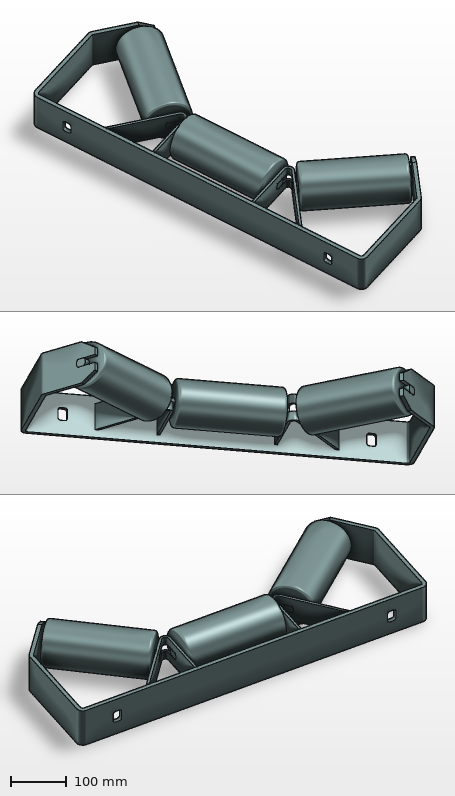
import cadquery as cq
import math

frame_width = 720.0
strip_height = 80.0
frame_thickness = 8.0
frame_bend_radius = 13.0
tilt = 40.0
bolt_slot_width = 17.0
bolt_slot_height = 24.5
bolt_slot_corner = 5.0
bolt_slot_x = 283.0

bracket_height = 50.5
bracket_thickness = 5.0
bracket_bend_radius = 11.5
bracket_face_x = 105.0
bracket_bend_y = 117.0

roller_radius = 45.0
roller_length = 200.0
roller_edge_radius = 6.0
roller_gap = 5.0
shaft_radius = 10.0
flat_width = 15.0
journal_stub = 3.0
seat_drop = 16.5

arm_reach = 32.0
taper_length = 30.0
tip_height = 45.0

half_width = frame_width / 2
half_strip = strip_height / 2
face_to_face = roller_length + 2 * roller_gap
half_span = face_to_face / 2
fold_x = bracket_face_x + bracket_bend_radius
tilt_sin = math.sin(math.radians(tilt))
tilt_cos = math.cos(math.radians(tilt))
half_fold_tan = math.tan(math.radians(tilt / 2))

axis_offset = bracket_bend_radius + half_span
side_x = fold_x + axis_offset * tilt_cos + seat_drop * tilt_sin
side_y = bracket_bend_y + axis_offset * tilt_sin - seat_drop * tilt_cos
centre_y = bracket_bend_y - seat_drop

left_seat = cq.Location(cq.Vector(-side_x, side_y, 0), cq.Vector(0, 0, 1), -tilt)
centre_seat = cq.Location(cq.Vector(0, centre_y, 0))
right_seat = cq.Location(cq.Vector(side_x, side_y, 0), cq.Vector(0, 0, 1), tilt)


def round_bar(radius, start_x, length):
    """Cylinder along the X axis."""
    return cq.Workplane("YZ", origin=(start_x, 0, 0)).circle(radius).extrude(length)


def flatted_bar(start_x, length):
    """Shaft stock along X with two flats facing up and down."""
    between_flats = cq.Workplane("XY", origin=(start_x, 0, 0)).box(
        length, 2 * shaft_radius, flat_width, centered=(False, True, True)
    )
    return round_bar(shaft_radius, start_x, length).intersect(between_flats)


def slot_cutter(depth):
    """Slots for the shaft at both ends of a roller, open towards local +Y."""
    opening_height = 2 * arm_reach
    opening = cq.Workplane("XY", origin=(half_span, 0, 0)).box(
        depth, opening_height, flat_width, centered=(False, False, True)
    )
    slot = flatted_bar(half_span, depth).union(opening)
    return slot.union(slot.mirror("YZ"))


def taper_cutter():
    """Corner wedges that narrow a strip towards its end, at both ends of a roller."""
    taper_start = arm_reach - taper_length
    slope = (half_strip - tip_height / 2) / taper_length
    far_y = 2 * arm_reach
    far_z = half_strip - slope * (far_y - taper_start)
    wedge = (
        cq.Workplane("YZ", origin=(half_span, 0, 0))
        .polyline([(taper_start, half_strip), (far_y, half_strip), (far_y, far_z)])
        .close()
        .extrude(frame_thickness)
    )
    wedges = wedge.union(wedge.mirror("XY"))
    return wedges.union(wedges.mirror("YZ"))


def make_frame():
    """Strip bent into a tray with two inclined arms that carry the side rollers."""
    inner_end_x = -side_x - half_span * tilt_cos + arm_reach * tilt_sin
    inner_end_y = side_y + half_span * tilt_sin + arm_reach * tilt_cos
    outer_end_x = inner_end_x - frame_thickness * tilt_cos
    outer_end_y = inner_end_y + frame_thickness * tilt_sin
    knee_y = outer_end_y - (outer_end_x + half_width) * tilt_cos / tilt_sin
    inner_knee_y = knee_y - frame_thickness * half_fold_tan
    inner_x = half_width - frame_thickness

    outer_bends = [(-half_width, 0), (-half_width, knee_y)]
    inner_bends = [(-inner_x, inner_knee_y), (-inner_x, frame_thickness)]
    arm_end = [(outer_end_x, outer_end_y), (inner_end_x, inner_end_y)]
    left_edge = outer_bends + arm_end + inner_bends
    right_edge = [(-x, y) for x, y in reversed(left_edge)]
    frame = cq.Workplane("XY").polyline(left_edge + right_edge).close().extrude(half_strip, both=True)

    inner_radius = frame_bend_radius - frame_thickness
    for bends, radius in ((outer_bends, frame_bend_radius), (inner_bends, inner_radius)):
        for x, y in bends:
            for side in (-1, 1):
                corner = cq.selectors.NearestToPointSelector((side * x, y, 0))
                frame = frame.edges("|Z").edges(corner).fillet(radius)

    bolt_slots = (
        cq.Workplane("XZ")
        .pushPoints([(-bolt_slot_x, 0), (bolt_slot_x, 0)])
        .rect(bolt_slot_width, bolt_slot_height)
        .extrude(-frame_thickness)
        .edges("|Y")
        .fillet(bolt_slot_corner)
    )
    frame = frame.cut(bolt_slots)

    arm_cutter = slot_cutter(frame_thickness).union(taper_cutter()).val()
    for seat in (left_seat, right_seat):
        frame = frame.cut(cq.Workplane(arm_cutter.moved(seat)))
    return frame


def fold_wedge(radius):
    """Solid wedge on the frame whose rounded ridge is the left fold at this radius."""
    apex_x = -fold_x + radius
    apex_y = bracket_bend_y + radius / half_fold_tan
    foot_x = apex_x - (apex_y - frame_thickness) * tilt_sin / tilt_cos
    outline = [(apex_x, apex_y), (apex_x, frame_thickness), (foot_x, frame_thickness)]
    wedge = cq.Workplane("XY").polyline(outline).close().extrude(bracket_height / 2, both=True)
    return wedge.edges("|Z and >Y").fillet(radius)


def make_left_bracket():
    """Folded strip with an upright leg and a leg square to the left roller."""
    bracket = fold_wedge(bracket_bend_radius).cut(fold_wedge(bracket_bend_radius - bracket_thickness))
    cutter = slot_cutter(bracket_bend_radius).val()
    for seat in (left_seat, centre_seat):
        bracket = bracket.cut(cq.Workplane(cutter.moved(seat)))
    return bracket


def make_roller(left_strip, right_strip):
    """Roller whose flatted shaft ends are flush with strips of the given thicknesses."""
    shell = round_bar(roller_radius, -roller_length / 2, roller_length)
    shell = shell.edges().fillet(roller_edge_radius)
    journal_length = roller_length + 2 * journal_stub
    journal = round_bar(shaft_radius, -journal_length / 2, journal_length)
    flatted_shaft = flatted_bar(-half_span - left_strip, left_strip + face_to_face + right_strip)
    return shell.union(journal).union(flatted_shaft)


frame = make_frame()
left_bracket = make_left_bracket()
right_bracket = left_bracket.mirror("YZ")

placements = [
    (left_seat, frame_thickness, bracket_thickness),
    (centre_seat, bracket_thickness, bracket_thickness),
    (right_seat, bracket_thickness, frame_thickness),
]
rollers = []
for seat, left_strip, right_strip in placements:
    rollers.append(make_roller(left_strip, right_strip).val().moved(seat))

result = cq.Compound.makeCompound([frame.val(), left_bracket.val(), right_bracket.val(), *rollers])